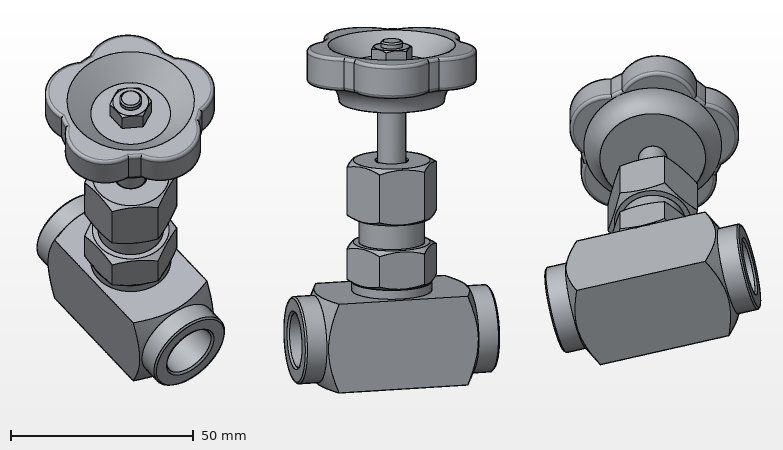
import cadquery as cq
import math


total_length = 55.0
end_length = 6.0
end_diameter = 24.0
end_chamfer = 0.5
block_side = 25.0
block_length = total_length - 2 * end_length
block_cone_angle = 30

port_diameter = 14.9
port_depth = 14.0
port_chamfer = 0.6
drill_tip_diameter = 12.1
drill_tip_half_angle = 75
passage_diameter = 6.0
passage_depth = 7.0
passage_drop = (port_diameter - passage_diameter) / 2

collar_diameter = 22.0
collar_height = 2.5
hex_flats = 22.0
hex_chamfer_diameter = 21.0
hex_chamfer_angle = 30
lock_nut_height = 11.0
neck_diameter = 18.0
neck_height = 7.0
cap_nut_height = 16.0
stem_hole_diameter = 8.4
stem_hole_depth = 2.0
stem_hole_countersink = 0.4
stem_diameter = 7.8

stem_exposed_height = 16.75
hub_radius = 14.5
hub_height = 6.2
flare_arc_radius = 6.95
rim_height = 9.4
rim_fillet = 0.95
rim_valley_radius = 19.8
lobe_count = 5
lobe_radius = 11.0
lobe_center_radius = 12.8
lobe_start_angle = 3
dish_top_diameter = 34.8
dish_floor_diameter = 21.8
dish_depth = 5.4

wheel_nut_flats = 10.0
wheel_nut_chamfer_diameter = 9.8
wheel_nut_height = 5.0
tip_diameter = 6.0
tip_chamfer = 0.5
total_height = 95.2

block_top = block_side / 2
lock_nut_bottom = block_top + collar_height
lock_nut_top = lock_nut_bottom + lock_nut_height
cap_nut_bottom = lock_nut_top + neck_height
cap_nut_top = cap_nut_bottom + cap_nut_height
hub_bottom = cap_nut_top + stem_exposed_height
rim_bottom = hub_bottom + hub_height
rim_top = rim_bottom + rim_height
dish_floor = rim_top - dish_depth
tip_top = total_height - block_side / 2


def rod(diameter, bottom, top):
    """Round bar on the stem axis between two levels."""
    return cq.Workplane("XY").workplane(offset=bottom).circle(diameter / 2).extrude(top - bottom)


def tapered_rod(bottom_diameter, top_diameter, bottom, top):
    """Frustum on the stem axis between two levels."""
    return (
        cq.Workplane("XY")
        .workplane(offset=bottom)
        .circle(bottom_diameter / 2)
        .workplane(offset=top - bottom)
        .circle(top_diameter / 2)
        .loft(ruled=True)
    )


def cone_limits(chamfer_diameter, corner_radius, half_length, angle, ends):
    """Round envelope about Z whose chosen ends (+1 or -1) taper out from the chamfer diameter."""
    inner = chamfer_diameter / 2
    outer = corner_radius + 0.95
    drop = (outer - inner) * math.tan(math.radians(angle))
    top = [(outer, half_length - drop), (inner, half_length)] if 1 in ends else [(outer, half_length)]
    bottom = [(inner, -half_length), (outer, drop - half_length)] if -1 in ends else [(outer, -half_length)]
    points = [(0, half_length), (0, -half_length)] + bottom + top
    return cq.Workplane("XZ").polyline(points).close().revolve(360, (0, 0), (0, 1))


def hex_nut(flats, chamfer_diameter, bottom, height, ends):
    """Hexagon with corners on the X axis and conical chamfers on the chosen ends."""
    corner_radius = flats / math.sqrt(3)
    prism = cq.Workplane("XY").polygon(6, 2 * corner_radius).extrude(height / 2, both=True)
    limits = cone_limits(chamfer_diameter, corner_radius, height / 2, hex_chamfer_angle, ends)
    return prism.intersect(limits).translate((0, 0, bottom + height / 2))


def body():
    """Square block with turned corners and a chamfered round end on each side."""
    corner_radius = block_side / math.sqrt(2)
    limits = cone_limits(end_diameter, corner_radius, block_length / 2, block_cone_angle, (1, -1))
    limits = limits.rotate((0, 0, 0), (0, 1, 0), 90)
    block = cq.Workplane("XY").box(block_length, block_side, block_side).intersect(limits)
    ends = cq.Workplane("YZ").circle(end_diameter / 2).extrude(total_length / 2, both=True)
    return block.union(ends.faces("<X or >X").chamfer(end_chamfer))


def port_cutter():
    """Void of the -X port: chamfered bore, flat shoulder, drill tip and offset passage."""
    mouth = -total_length / 2
    shoulder = mouth + port_depth
    bore_radius = port_diameter / 2
    tip_radius = drill_tip_diameter / 2
    tip_length = tip_radius / math.tan(math.radians(drill_tip_half_angle))
    profile = [
        (mouth, 0),
        (mouth, bore_radius + port_chamfer),
        (mouth + port_chamfer, bore_radius),
        (shoulder, bore_radius),
        (shoulder, tip_radius),
        (shoulder + tip_length, 0),
    ]
    bore = cq.Workplane("XZ").polyline(profile).close().revolve(360, (0, 0), (1, 0))
    passage = (
        cq.Workplane("YZ", origin=(shoulder, 0, -passage_drop))
        .circle(passage_diameter / 2)
        .extrude(passage_depth)
    )
    return bore.union(passage)


def bonnet():
    """Collar, lock nut, neck and cap nut with a countersunk clearance hole around the stem."""
    collar = rod(collar_diameter, block_top, lock_nut_bottom)
    lock_nut = hex_nut(hex_flats, hex_chamfer_diameter, lock_nut_bottom, lock_nut_height, (1, -1))
    neck = rod(neck_diameter, lock_nut_top, cap_nut_bottom)
    cap_nut = hex_nut(hex_flats, hex_chamfer_diameter, cap_nut_bottom, cap_nut_height, (1, -1))
    stem_hole = rod(stem_hole_diameter, cap_nut_top - stem_hole_depth, cap_nut_top)
    countersink = tapered_rod(
        stem_hole_diameter,
        stem_hole_diameter + 2 * stem_hole_countersink,
        cap_nut_top - stem_hole_countersink,
        cap_nut_top,
    )
    cap_nut = cap_nut.cut(stem_hole).cut(countersink)
    return collar.union(lock_nut).union(neck).union(cap_nut)


def rounded_disc(radius):
    """Disc as thick as the rim, with both edges rounded."""
    return rod(2 * radius, rim_bottom, rim_top).edges().fillet(rim_fillet)


def handwheel():
    """Lobed rim with rounded edges on a flared hub, dished from above."""
    rim = rounded_disc(rim_valley_radius)
    lobe = rounded_disc(lobe_radius).translate((lobe_center_radius, 0, 0))
    for index in range(lobe_count):
        angle = lobe_start_angle + index * 360 / lobe_count
        rim = rim.union(lobe.rotate((0, 0, 0), (0, 0, 1), angle))

    flare_top_radius = rim_valley_radius - rim_fillet
    hub = (
        cq.Workplane("XZ")
        .moveTo(0, hub_bottom)
        .lineTo(hub_radius, hub_bottom)
        .radiusArc((flare_top_radius, rim_bottom), flare_arc_radius)
        .lineTo(0, rim_bottom + rim_fillet)
        .close()
        .revolve(360, (0, 0), (0, 1))
    )
    dish = tapered_rod(dish_floor_diameter, dish_top_diameter, dish_floor, rim_top)
    return rim.union(hub).cut(dish)


def stem():
    """Stem from the clearance hole in the cap nut to the hub, wheel nut and chamfered tip."""
    shaft = rod(stem_diameter, cap_nut_top - stem_hole_depth, hub_bottom)
    nut = hex_nut(wheel_nut_flats, wheel_nut_chamfer_diameter, dish_floor, wheel_nut_height, (1,))
    tip = rod(tip_diameter, dish_floor, tip_top).faces(">Z").chamfer(tip_chamfer)
    return shaft.union(nut).union(tip)


near_port = port_cutter()
far_port = near_port.mirror("YZ")
valve_body = body().cut(near_port).cut(far_port)
result = valve_body.union(bonnet()).union(handwheel()).union(stem())